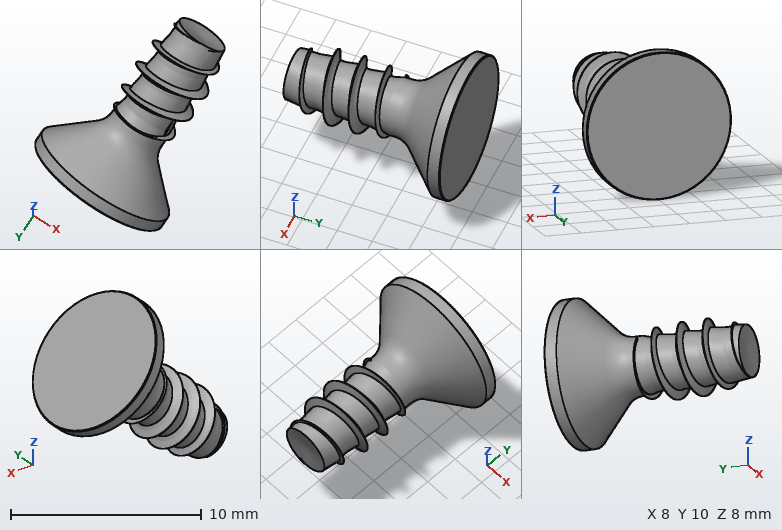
import cadquery as cq
import math

length = 10.0
head_radius = 4.0
rim_depth = 0.7
rim_chamfer = 0.05
neck_radius = 1.58
neck_fillet = 1.5
neck_end = 4.13
core_start = 4.72
core_radius = 1.43
tip_taper_start = 9.27
tip_radius = 1.38
recess_radius = 1.31
recess_depth = 0.15

pitch = 1.46
crest_radius = 2.02
crest_half_width = 0.015
knee_radius = 1.64
root_width_head = 0.3
knee_width_head = 0.14
root_width_tip = 0.22
buried_radius = 1.33
root_radius = 1.39
phase_depth = 4.54
first_turn = -0.62
last_turn = 3.62
widening_start = -0.25
full_start = 0.75
fade_start = 2.3
start_crest_radius = 1.7
start_width = 0.15
end_height = 0.1
samples_per_turn = 16

shoulder_radius = 1.53
shoulder_end_radius = 1.41
shoulder_width = 1.22
shoulder_land = 0.18
shoulder_fade_start = 2.8
shoulder_first_turn = -0.1
shoulder_last_turn = 4.0


def blend(turn, start, end, start_value, end_value):
    """Linear transition, held constant outside its range."""
    fraction = min(max((turn - start) / (end - start), 0), 1)
    return start_value + fraction * (end_value - start_value)


def crest_depth(turn):
    return max(neck_end, phase_depth + pitch * turn)


def thread_section(turn):
    """Thread outline as (axial offset towards tip, radius) points."""
    crest = blend(turn, first_turn, full_start, start_crest_radius, crest_radius)
    width = blend(turn, widening_start, full_start, start_width, 1)
    fade = blend(turn, fade_start, last_turn, 1, end_height)
    height = (crest - core_radius) * fade
    width *= fade
    knee_height = height * (knee_radius - core_radius) / (crest_radius - core_radius)
    return [
        (-root_width_head * width, buried_radius),
        (-root_width_head * width, root_radius),
        (-knee_width_head * width, core_radius + knee_height),
        (-crest_half_width * width, core_radius + height),
        (crest_half_width * width, core_radius + height),
        (root_width_tip * width, root_radius),
        (root_width_tip * width, buried_radius),
    ]


def shoulder_section(turn):
    """Wedge outline that falls from the thread towards the tip."""
    top = blend(turn, shoulder_fade_start, shoulder_last_turn, shoulder_radius, shoulder_end_radius)
    return [
        (0, buried_radius),
        (0, top),
        (shoulder_land, top),
        (shoulder_width, root_radius),
        (shoulder_width, buried_radius),
    ]


def helical_solid(section, start, end):
    """Solid swept by a changing section along the helix."""
    steps = math.ceil((end - start) * samples_per_turn)
    tracks = []
    for index in range(steps + 1):
        turn = start + (end - start) * index / steps
        angle = 2 * math.pi * turn
        tracks.append([
            cq.Vector(radius * math.cos(angle), -crest_depth(turn) - offset, radius * math.sin(angle))
            for offset, radius in section(turn)
        ])
    edges = [cq.Edge.makeSpline(list(track)) for track in zip(*tracks)]
    faces = [
        cq.Face.makeRuledSurface(edge, following)
        for edge, following in zip(edges, edges[1:] + edges[:1])
    ]
    for corners in (tracks[0], tracks[-1]):
        faces.append(cq.Face.makeFromWires(cq.Wire.makePolygon(corners, close=True)))
    solid = cq.Solid.makeSolid(cq.Shell.makeShell(faces))
    return solid.fix()


def make_blank():
    """Revolved countersunk head, neck, core and shallow conical tip recess."""
    arc_middle = math.pi / 8
    diagonal = math.sqrt(0.5)
    cone_end_radius = neck_radius + neck_fillet * (1 - diagonal)
    cone_end = rim_depth + head_radius - cone_end_radius
    fillet_end = cone_end + neck_fillet * diagonal
    fillet_middle = (
        neck_radius + neck_fillet * (1 - math.cos(arc_middle)),
        -fillet_end + neck_fillet * math.sin(arc_middle),
    )
    return (
        cq.Workplane("XY")
        .lineTo(head_radius - rim_chamfer, 0)
        .lineTo(head_radius, -rim_chamfer)
        .lineTo(head_radius, -rim_depth)
        .lineTo(cone_end_radius, -cone_end)
        .threePointArc(fillet_middle, (neck_radius, -fillet_end))
        .lineTo(neck_radius, -neck_end)
        .lineTo(core_radius, -core_start)
        .lineTo(core_radius, -tip_taper_start)
        .lineTo(tip_radius, -length)
        .lineTo(recess_radius, -length)
        .lineTo(0, recess_depth - length)
        .close()
        .revolve(360, (0, 0), (0, 1))
    )


def make_tip_cutter():
    """Clears everything beyond the tip plane and inside the tip recess."""
    return (
        cq.Workplane("XY")
        .moveTo(0, recess_depth - length)
        .lineTo(recess_radius, -length)
        .lineTo(head_radius, -length)
        .lineTo(head_radius, -length - 2 * pitch)
        .lineTo(0, -length - 2 * pitch)
        .close()
        .revolve(360, (0, 0), (0, 1))
    )


shoulder = helical_solid(shoulder_section, shoulder_first_turn, shoulder_last_turn)
thread = helical_solid(thread_section, first_turn, last_turn)
result = make_blank().union(cq.Workplane(shoulder)).union(cq.Workplane(thread)).cut(make_tip_cutter())